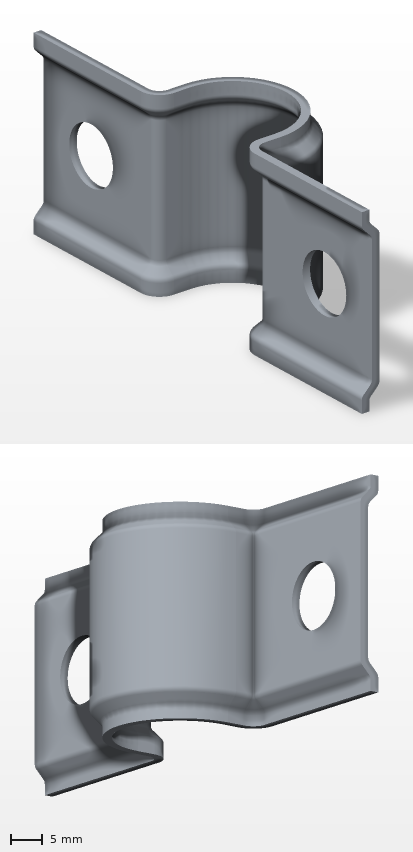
import cadquery as cq
import math

length = 83.0
height = 35.0
depth = 21.2

thickness = 1.5
step = 2.0
rim_height = 2.2
crease_radius = 1.1

arch_radius = 14.2
inside_bend_radius = 0.2

hole_diameter = 11.0
hole_spacing = 59.0

section_depth = step + thickness
half_height = height / 2
bend_radius = inside_bend_radius + section_depth
bend_x = arch_radius + inside_bend_radius
leg_length = depth - arch_radius - bend_radius
leg_x = arch_radius - section_depth
arch_y = bend_radius + leg_length
flange_length = length / 2 - bend_x


def sheet_section():
    """Sheet section: x runs from the rim's front face to the band's back face, y is the height."""
    corner_shift = thickness * math.tan(math.radians(45 / 2))
    back_rim_end = half_height - rim_height
    front_rim_end = back_rim_end - corner_shift
    upper_half = [
        (step, front_rim_end - step),
        (0, front_rim_end),
        (0, half_height),
        (thickness, half_height),
        (thickness, back_rim_end),
        (section_depth, back_rim_end - step),
    ]
    lower_half = [(offset, -z) for offset, z in reversed(upper_half)]
    outline = upper_half + lower_half
    return (
        cq.Sketch()
        .polygon(outline + outline[:1])
        .vertices("not(>Y or <Y)")
        .fillet(crease_radius)
    )


def flange_profile():
    """Section across the flange where it meets the bend."""
    plane = cq.Plane(origin=(bend_x, 0, 0), xDir=(0, 1, 0), normal=(1, 0, 0))
    return cq.Workplane(plane).placeSketch(sheet_section())


def leg_profile(y):
    """Section across the leg at the given y."""
    plane = cq.Plane(origin=(leg_x, y, 0), xDir=(1, 0, 0), normal=(0, -1, 0))
    return cq.Workplane(plane).placeSketch(sheet_section())


def flange():
    return flange_profile().extrude(flange_length)


def bend():
    """Quarter turn from the flange into the leg."""
    return flange_profile().revolve(90, (bend_radius, 0, 0), (bend_radius, -1, 0))


def leg():
    return leg_profile(bend_radius).extrude(-leg_length)


def half_arch():
    """Quarter turn from the top of the leg to the crown, about the arch centre."""
    return leg_profile(arch_y).revolve(90, (-leg_x, 0, 0), (-leg_x, 1, 0))


def mounting_holes():
    return (
        cq.Workplane("XZ")
        .pushPoints([(-hole_spacing / 2, 0), (hole_spacing / 2, 0)])
        .circle(hole_diameter / 2)
        .extrude(-depth)
    )


right_half = flange().union(bend()).union(leg()).union(half_arch())
clamp = right_half.union(right_half.mirror("YZ"))
result = clamp.cut(mounting_holes())